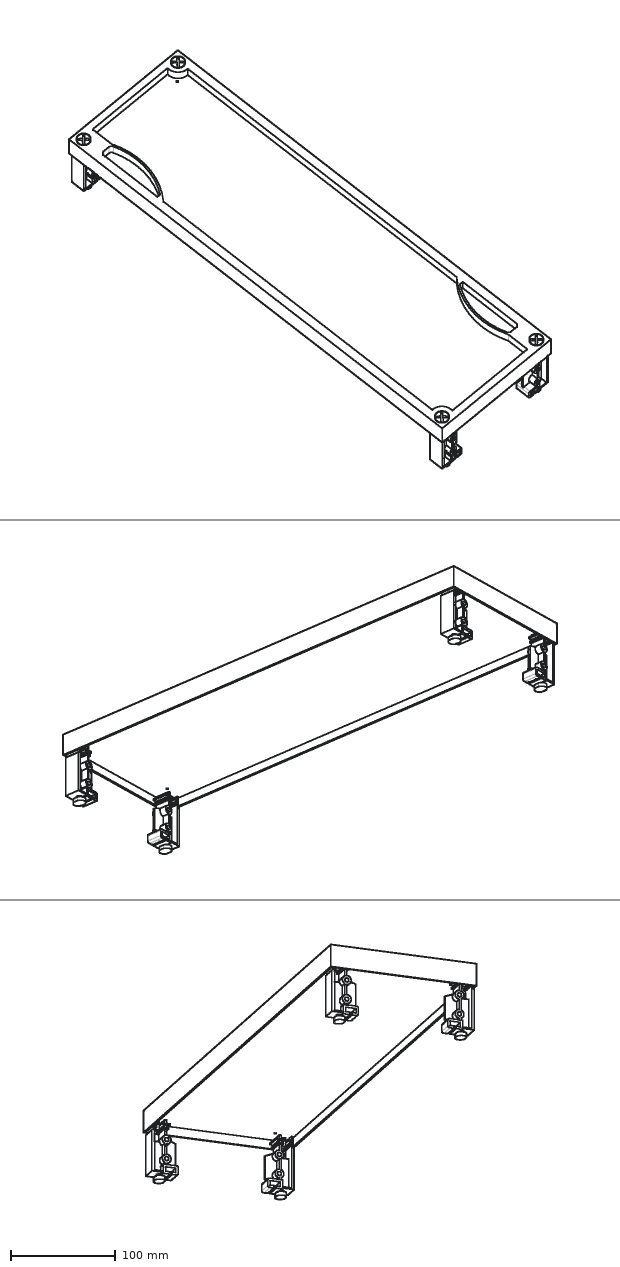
import cadquery as cq

HALF_TURN = 180

LENGTH = 500.0
WIDTH = 150.0
TRAY_HEIGHT = 22.5
PLATE_THICKNESS = 13.5
SKIRT_WALL = 1.75
POCKET_DEPTH = 10.0
POCKET_MARGIN_X = 8.0
POCKET_MARGIN_Y = 9.5

PAD_WIDTH = 24.5
PAD_LENGTH = 63.0
BULGE_RADIUS = 82.5
BULGE_PEAK = 30.0

RECESS_WALL = 2.0
RECESS_START = 34.0
RECESS_END = 109.0
RECESS_CORNER = 3.5

DRAIN_INSET_X = 20.5
DRAIN_INSET_Y = 22.0
DRAIN_RADIUS = 1.0

SCREW_INSET = 10.0
SCREW_BOSS_RADIUS = 12.5
HEAD_RADIUS = 7.0
HEAD_DEPTH = 5.0
HEAD_DOME = 0.75
SHAFT_RADIUS = 2.5
SCREW_LENGTH = 22.5
CROSS_WIDTH = 2.0
CROSS_SPAN = 12.0
CROSS_DEPTH = 3.0
CROSS_ANGLE = 45

LEG_LENGTH = 2 * (SCREW_INSET - SKIRT_WALL)
LEG_BOTTOM = -67.5
PANEL_OUTER = 1.75
PANEL_INNER = 4.5
PANEL_STEP = 1.25
PANEL_UPPER = PANEL_OUTER + PANEL_STEP
PANEL_STEP_Z = -25.5
RIB_OUTER = 15.0
RIB_INNER = 17.0
LIP_HEIGHT = 1.5
LIPS = [{"top": -17.0, "reach": 3.5}, {"top": -21.0, "reach": 2.0}]

TUBE_U = 17.0
TUBE_Z = (-33.5, -53.0)
TUBE_RADIUS = 4.5
TUBE_BORE = 2.0

WEB_THICKNESS = 2.0
WEB_TOP = -34.0
WEB_PEAK_U = 21.5
WEB_PEAK_Z = -31.0
WEB_BOTTOM = -57.5

CHANNEL_WALL = 2.5
CHANNEL_OUTER_U = 13.5
CHANNEL_INNER_U = 29.0
CHANNEL_TOP = -59.0
CHANNEL_BOTTOM = -68.5
CHANNEL_CORNER = 2.0
SLOT_START = 20.5
SLOT_END = 22.5

FOOT_INSET = 12.5
FOOT_LENGTH = 13.0
FOOT_WIDTH = 10.0
FOOT_TOP = -70.0
FOOT_BOTTOM = -74.0
NECK_RADIUS = 3.0

X_MIN = -LENGTH / 2
Y_MIN = -WIDTH / 2
SCREW_X = LENGTH / 2 - SCREW_INSET
SCREW_Y = WIDTH / 2 - SCREW_INSET
CORNERS = [(sx, sy) for sx in (-1, 1) for sy in (-1, 1)]


def block(x0, x1, y0, y1, z0, z1):
    """Box between opposite corners."""
    return cq.Workplane("XY").box(x1 - x0, y1 - y0, z1 - z0, centered=False).translate((x0, y0, z0))


def rod(x, y, radius, z0, z1):
    """Upright cylinder between two heights."""
    return cq.Workplane("XY").center(x, y).circle(radius).extrude(z1 - z0).translate((0, 0, z0))


def half_turn(shape):
    """Copy turned half way round the middle of the tray."""
    return shape.rotate((0, 0, 0), (0, 0, 1), HALF_TURN)


def bulge(radius):
    """Disc whose edge bounds the curved pad at the -X, -Y corner."""
    x = X_MIN + PAD_LENGTH
    y = Y_MIN + BULGE_PEAK - BULGE_RADIUS
    return rod(x, y, radius, -POCKET_DEPTH, 0)


def make_pocket():
    x = LENGTH / 2 - POCKET_MARGIN_X
    y = WIDTH / 2 - POCKET_MARGIN_Y
    pocket = block(-x, x, -y, y, -POCKET_DEPTH, 0)
    pad = block(X_MIN, X_MIN + PAD_LENGTH, Y_MIN, Y_MIN + PAD_WIDTH, -POCKET_DEPTH, 0)
    boss = rod(SCREW_X, -SCREW_Y, SCREW_BOSS_RADIUS, -POCKET_DEPTH, 0)
    for standing in (pad, bulge(BULGE_RADIUS), boss):
        pocket = pocket.cut(standing).cut(half_turn(standing))
    return pocket


def make_finger_recess():
    limits = block(
        X_MIN + RECESS_START, X_MIN + RECESS_END,
        Y_MIN + POCKET_MARGIN_Y, Y_MIN + BULGE_PEAK,
        -POCKET_DEPTH, 0,
    )
    recess = limits.intersect(bulge(BULGE_RADIUS - RECESS_WALL))
    return recess.edges("|Z").edges("<X").fillet(RECESS_CORNER)


def make_tray():
    tray = block(X_MIN, -X_MIN, Y_MIN, -Y_MIN, -TRAY_HEIGHT, 0)
    x = LENGTH / 2 - SKIRT_WALL
    y = WIDTH / 2 - SKIRT_WALL
    tray = tray.cut(block(-x, x, -y, y, -TRAY_HEIGHT, -PLATE_THICKNESS))
    tray = tray.cut(make_pocket())
    recess = make_finger_recess()
    drain = rod(X_MIN + DRAIN_INSET_X, -Y_MIN - DRAIN_INSET_Y, DRAIN_RADIUS, -PLATE_THICKNESS, 0)
    for feature in (recess, drain):
        tray = tray.cut(feature).cut(half_turn(feature))
    for sx, sy in CORNERS:
        tray = tray.cut(rod(sx * SCREW_X, sy * SCREW_Y, HEAD_RADIUS, -HEAD_DEPTH, 0))
        tray = tray.cut(rod(sx * SCREW_X, sy * SCREW_Y, SHAFT_RADIUS, -PLATE_THICKNESS, 0))
    return tray


def make_screw(sx, sy):
    """Screw with a domed, cross-slotted head flush with the tray rim."""
    screw = (
        cq.Workplane("XZ")
        .moveTo(0, 0)
        .threePointArc((HEAD_RADIUS / 2, -HEAD_DOME / 4), (HEAD_RADIUS, -HEAD_DOME))
        .lineTo(HEAD_RADIUS, -HEAD_DEPTH)
        .lineTo(SHAFT_RADIUS, -HEAD_DEPTH)
        .lineTo(SHAFT_RADIUS, -SCREW_LENGTH)
        .lineTo(0, -SCREW_LENGTH)
        .close()
        .revolve()
    )
    span = CROSS_SPAN / 2
    half = CROSS_WIDTH / 2
    slot = block(-span, span, -half, half, -CROSS_DEPTH, 0)
    for angle in (CROSS_ANGLE, -CROSS_ANGLE):
        screw = screw.cut(slot.rotate((0, 0, 0), (0, 0, 1), angle))
    return screw.translate((sx * SCREW_X, sy * SCREW_Y, 0))


def across(sketch, thickness):
    """Extrude a (U, Z) outline along X, centred on X = 0."""
    return sketch.extrude(thickness / 2, both=True)


def bar(u0, u1, z0, z1):
    """Rectangular wall running the full length of the leg."""
    return block(-LEG_LENGTH / 2, LEG_LENGTH / 2, u0, u1, z0, z1)


def make_panel():
    """Outer panel, stepped inward by a slope so that its top fits inside the tray skirt."""
    outline = cq.Workplane("YZ").polyline([
        (PANEL_OUTER, LEG_BOTTOM),
        (PANEL_OUTER, PANEL_STEP_Z),
        (PANEL_UPPER, PANEL_STEP_Z + PANEL_STEP),
        (PANEL_UPPER, -PLATE_THICKNESS),
        (PANEL_INNER, -PLATE_THICKNESS),
        (PANEL_INNER, LEG_BOTTOM),
    ]).close()
    return across(outline, LEG_LENGTH)


def make_rib():
    """Inner rib with two tubes and, with the panel, the lips that grip the screw."""
    rib = bar(RIB_OUTER, RIB_INNER, CHANNEL_TOP, -PLATE_THICKNESS)
    for z in TUBE_Z:
        rib = rib.union(across(cq.Workplane("YZ").center(TUBE_U, z).circle(TUBE_RADIUS), LEG_LENGTH))
    for lip in LIPS:
        top = lip["top"]
        reach = lip["reach"]
        rib = rib.union(bar(RIB_OUTER - reach, RIB_INNER + reach, top - LIP_HEIGHT, top))
        rib = rib.union(bar(PANEL_UPPER, PANEL_INNER + reach, top - LIP_HEIGHT, top))
    return rib


def make_web():
    """Thin cross web joining the panel, rib and channel."""
    outline = cq.Workplane("YZ").polyline([
        (PANEL_INNER, WEB_TOP),
        (TUBE_U, WEB_TOP),
        (WEB_PEAK_U, WEB_PEAK_Z),
        (CHANNEL_INNER_U, WEB_TOP),
        (CHANNEL_INNER_U, WEB_BOTTOM),
        (RIB_INNER, WEB_BOTTOM),
        (CHANNEL_OUTER_U, CHANNEL_TOP),
        (CHANNEL_OUTER_U, LEG_BOTTOM),
        (PANEL_INNER, LEG_BOTTOM),
    ]).close()
    return across(outline, WEB_THICKNESS)


def make_channel():
    """Channel with a slot along its underside, and the bar tying it to the panel."""
    outer = bar(CHANNEL_OUTER_U, CHANNEL_INNER_U, CHANNEL_BOTTOM, CHANNEL_TOP)
    outer = outer.edges("|X").edges(">Y").fillet(CHANNEL_CORNER)
    inside = bar(
        CHANNEL_OUTER_U + CHANNEL_WALL, CHANNEL_INNER_U - CHANNEL_WALL,
        CHANNEL_BOTTOM + CHANNEL_WALL, CHANNEL_TOP - CHANNEL_WALL,
    )
    slot = bar(SLOT_START, SLOT_END, CHANNEL_BOTTOM, CHANNEL_BOTTOM + CHANNEL_WALL)
    tie = bar(PANEL_INNER, RIB_OUTER, LEG_BOTTOM, CHANNEL_BOTTOM + CHANNEL_WALL)
    return outer.cut(inside).cut(slot).union(tie)


def make_foot():
    """Rounded foot on a short neck."""
    pad = cq.Workplane("XY").center(0, FOOT_INSET).slot2D(FOOT_LENGTH, FOOT_WIDTH)
    pad = pad.extrude(FOOT_TOP - FOOT_BOTTOM).translate((0, 0, FOOT_BOTTOM))
    return pad.union(rod(0, FOOT_INSET, NECK_RADIUS, FOOT_TOP, LEG_BOTTOM))


def make_leg(sx, sy):
    leg = make_panel().union(make_rib()).union(make_web()).union(make_channel()).union(make_foot())
    for z in TUBE_Z:
        leg = leg.cut(across(cq.Workplane("YZ").center(TUBE_U, z).circle(TUBE_BORE), LEG_LENGTH))
    leg = leg.cut(rod(0, SCREW_INSET, SHAFT_RADIUS, -SCREW_LENGTH, -PLATE_THICKNESS))
    leg = leg.translate((sx * SCREW_X, Y_MIN, 0))
    return leg if sy < 0 else leg.mirror("XZ")


tray = make_tray()
screws = [make_screw(sx, sy) for sx, sy in CORNERS]
legs = [make_leg(sx, sy) for sx, sy in CORNERS]

result = cq.Compound.makeCompound([
    tray.val(),
    *[screw.val() for screw in screws],
    *[leg.val() for leg in legs],
])